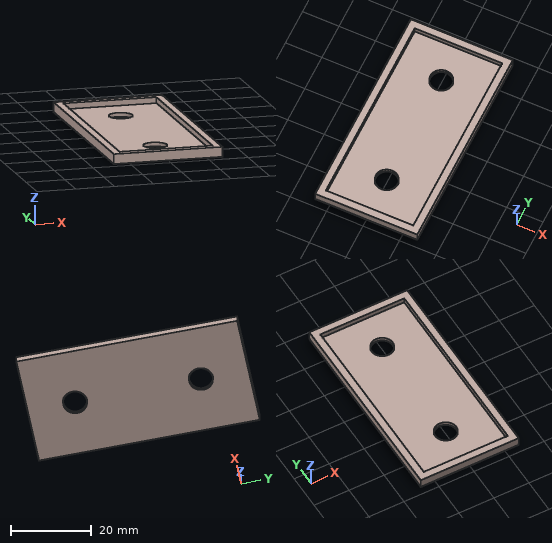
import cadquery as cq

width = 28.0
length = 56.0
height = 2.6

rim_width = 2.0
pocket_depth = 1.5

hole_diameter = 6.0
hole_spacing = 31.9

plate = cq.Workplane("XY").box(width, length, height, centered=(True, True, False))

pocket = (
    cq.Workplane("XY", origin=(0, 0, height - pocket_depth))
    .rect(width - 2 * rim_width, length - 2 * rim_width)
    .extrude(pocket_depth)
)

holes = (
    cq.Workplane("XY")
    .pushPoints([(0, -hole_spacing / 2), (0, hole_spacing / 2)])
    .circle(hole_diameter / 2)
    .extrude(height)
)

result = plate.cut(pocket).cut(holes)